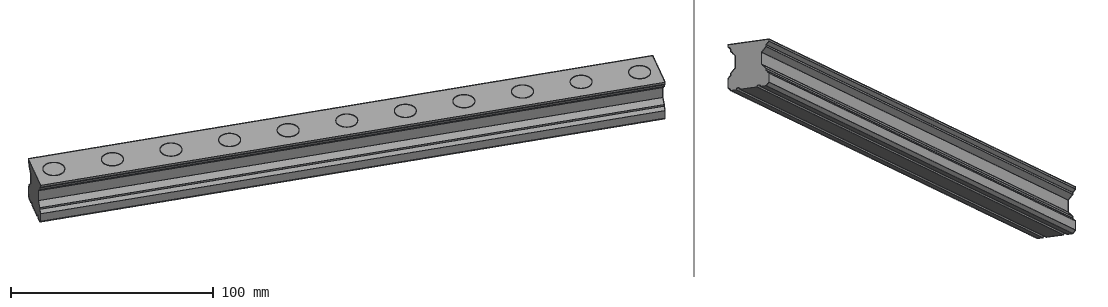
import cadquery as cq

length = 320.0
width = 23.0
height = 23.7

waist_width = 14.7
waist_height = 6.0
waist_middle = 14.5
raceway_depth = 2.5
step_height = 1.0
base_chamfer = 1.5

groove_radius = 1.0
groove_spacing = 11.5

cap_count = 11
cap_end_distance = 10.0
cap_pitch = (length - 2 * cap_end_distance) / (cap_count - 1)
cap_diameter = 11.0
cap_recess = 0.15


def side_points():
    """Right-hand side of the cross-section, from the underside up to the top face."""
    half_width = width / 2
    half_waist = waist_width / 2
    step_x = half_waist + raceway_depth
    step_start = waist_height / 2 + raceway_depth
    step_end = step_start + step_height
    recess = [
        (half_waist, waist_height / 2),
        (step_x, step_start),
        (step_x, step_end),
        (half_width, step_end + half_width - step_x),
    ]
    lower = [(x, waist_middle - offset) for x, offset in reversed(recess)]
    upper = [(x, waist_middle + offset) for x, offset in recess]
    base = [(half_width - base_chamfer, 0), (half_width, base_chamfer)]
    return base + lower + upper + [(half_width, height)]


def rail_body():
    right = side_points()
    left = [(-x, z) for x, z in reversed(right)]
    profile = cq.Workplane("XZ").polyline(right + left).close()
    return profile.extrude(length / 2, both=True)


def relief_grooves():
    return (
        cq.Workplane("XZ")
        .rarray(groove_spacing, 3.2, 2, 1)
        .circle(groove_radius)
        .extrude(length / 2, both=True)
    )


def cap_seats():
    return (
        cq.Workplane("XY", origin=(0, 0, height - cap_recess))
        .rarray(3.2, cap_pitch, 1, cap_count)
        .circle(cap_diameter / 2)
        .extrude(cap_recess)
    )


result = rail_body().cut(relief_grooves()).cut(cap_seats())